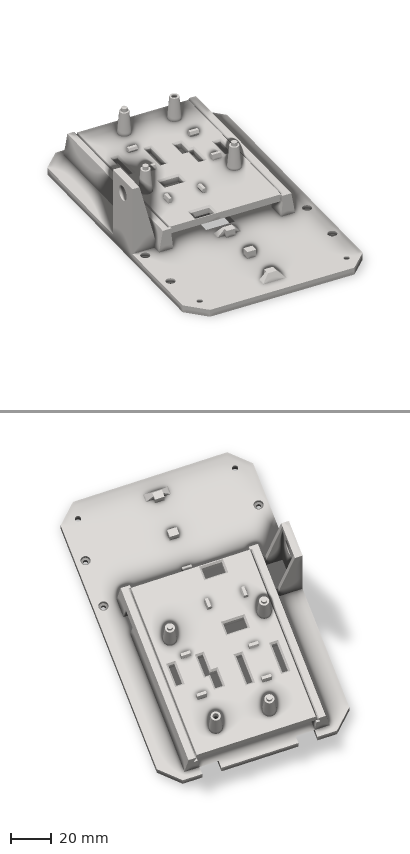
import cadquery as cq

plate_length = 160.0
plate_width = 100.0
plate_thickness = 4.0
corner_cut = 10.0
notch_depth = 4.0
notch_inner_y = 20.0
notch_outer_y = 30.0

rail_start_x = 4.0
rail_end_x = 102.9
groove_end_x = 101.3
rail_top_z = 16.0
shelf_z = 12.0
rail_foot_inner_y = notch_outer_y
rail_foot_outer_y = 37.8
rail_top_outer_y = 35.7
shelf_inner_y = 30.9
groove_bottom_y = 33.0
groove_lip_y = 31.5
lip_chamfer = 0.6

bracket_x = 88.0
window_size = 16.0
rail_opening_width = 10.0
rail_opening_height = 7.0

bracket_width = 20.0
bracket_top_z = 42.0
bracket_wall = 4.0
bracket_foot_depth = 14.0
gusset_thickness = 2.0
bracket_hole_diameter = 8.0
bracket_hole_drop = 8.0

screw_hole_diameter = 2.5
counterbore_diameter = 5.0
counterbore_depth = 2.0
screw_hole_y = 45.0
screw_hole_xs = (102.0, 128.0)
corner_hole_diameter = 3.0
corner_hole_x = 150.5
corner_hole_y = 40.8

block_length = 4.0
block_width = 5.0
block_height = 4.0
middle_block_x = 126.4
end_block_offset = 21.5
wedge_top_length = 2.0
wedge_end_run = 2.4

tray_start_x = 5.3
tray_end_x = groove_end_x
tray_top_half_width = 30.9
tray_bottom_half_width = 32.3
tray_thickness = rail_top_z - shelf_z

post_base_diameter = 7.2
post_top_diameter = 5.0
post_height = 12.8
pin_diameter = 3.0
pin_height = 2.0
pinned_post_places = ((16.3, -10.7), (68.8, 22.2), (67.0, -26.0))
screw_post_place = (16.3, 17.1)

slot_chamfer = 1.0
slot_chamfer_angle = 45
slots = (
    (50.0, 26.0, 13.5, 5.0),
    (50.0, 11.2, 13.5, 4.8),
    (41.1, 8.2, 10.9, 5.8),
    (41.6, -6.7, 18.0, 4.8),
    (41.6, -25.1, 18.0, 4.8),
    (65.3, -10.5, 7.8, 12.5),
    (97.0, -10.5, 7.8, 12.5),
)

hook_thickness = 2.0
hook_length = 5.0
hook_nose = 0.6
hook_taper = 0.5
tall_hook_height = 3.0
short_hook_height = 2.5
hooks = (
    (35.2, 18.0, tall_hook_height, 0),
    (56.8, 18.0, tall_hook_height, 180),
    (33.5, -15.0, short_hook_height, 0),
    (50.7, -15.0, short_hook_height, 180),
    (80.0, -2.4, short_hook_height, -90),
    (80.0, -19.7, short_hook_height, 90),
)


def box(x_start, x_end, y_start, y_end, z_start, z_end):
    """Block between the given limits."""
    size = (x_end - x_start, y_end - y_start, z_end - z_start)
    return cq.Workplane("XY").box(*size, centered=False).translate((x_start, y_start, z_start))


def prism_along_x(points, x_start, x_end):
    """Extrude a (Y, Z) outline from x_start to x_end."""
    outline = cq.Workplane("YZ").polyline(points).close()
    return outline.extrude(x_end - x_start).translate((x_start, 0, 0))


def make_notch(y_start, y_end):
    """Cutter for an end notch whose inner wall leans 45 degrees under the plate."""
    outline = [
        (0, 0),
        (notch_depth + plate_thickness, 0),
        (notch_depth, plate_thickness),
        (0, plate_thickness),
    ]
    notch = cq.Workplane("XZ").polyline(outline).close().extrude(y_start - y_end)
    return notch.translate((0, y_start, 0))


def make_plate():
    half_width = plate_width / 2
    plate = box(0, plate_length, -half_width, half_width, 0, plate_thickness)
    plate = plate.edges("|Z").chamfer(corner_cut)
    notch_width = notch_outer_y - notch_inner_y
    for y_start in (-notch_outer_y, notch_inner_y):
        plate = plate.cut(make_notch(y_start, y_start + notch_width))
    half_window = window_size / 2
    window = box(
        bracket_x - half_window, bracket_x + half_window,
        -half_window, half_window, 0, plate_thickness,
    )
    plate = plate.cut(window)
    top = plate.faces(">Z").workplane(origin=(0, 0, plate_thickness))
    screw_places = [(x, y) for x in screw_hole_xs for y in (-screw_hole_y, screw_hole_y)]
    plate = top.pushPoints(screw_places).cboreHole(
        screw_hole_diameter, counterbore_diameter, counterbore_depth
    )
    top = plate.faces(">Z").workplane(origin=(0, 0, plate_thickness))
    corner_places = [(corner_hole_x, y) for y in (-corner_hole_y, corner_hole_y)]
    return top.pushPoints(corner_places).hole(corner_hole_diameter)


def make_rail():
    """Rail on the +Y side: a grooved length closed by a stop at its far end."""
    foot = [(rail_foot_inner_y, plate_thickness), (rail_foot_outer_y, plate_thickness)]
    outer_top = (rail_top_outer_y, rail_top_z)
    shelf_edge = (shelf_inner_y, shelf_z)
    groove = [
        (groove_lip_y + lip_chamfer, rail_top_z),
        (groove_lip_y, rail_top_z - lip_chamfer),
        (groove_bottom_y, shelf_z),
    ]
    grooved_outline = foot + [outer_top] + groove + [shelf_edge]
    stop_outline = foot + [outer_top, (shelf_inner_y, rail_top_z), shelf_edge]
    grooved = prism_along_x(grooved_outline, rail_start_x, groove_end_x)
    stop = prism_along_x(stop_outline, groove_end_x, rail_end_x)
    half_opening = rail_opening_width / 2
    opening = box(
        bracket_x - half_opening, bracket_x + half_opening, rail_foot_inner_y, rail_foot_outer_y,
        plate_thickness, plate_thickness + rail_opening_height,
    )
    return grooved.union(stop).cut(opening)


def make_bracket():
    """Upright wall with a hole, braced by a tapered gusset at each side."""
    back_y = -plate_width / 2
    wall_y = back_y + bracket_wall
    x_start = bracket_x - bracket_width / 2
    x_end = bracket_x + bracket_width / 2
    bracket = box(x_start, x_end, back_y, wall_y, plate_thickness, bracket_top_z)
    hole_z = bracket_top_z - bracket_hole_drop
    hole = cq.Workplane("XZ").center(bracket_x, hole_z).circle(bracket_hole_diameter / 2).extrude(plate_width)
    bracket = bracket.cut(hole)
    gusset = [
        (wall_y, plate_thickness),
        (back_y + bracket_foot_depth, plate_thickness),
        (wall_y, bracket_top_z),
    ]
    for gusset_x in (x_start, x_end - gusset_thickness):
        bracket = bracket.union(prism_along_x(gusset, gusset_x, gusset_x + gusset_thickness))
    return bracket


def make_block(center_x):
    """Plain locating block on the plate."""
    block_top = plate_thickness + block_height
    return box(
        center_x - block_length / 2, center_x + block_length / 2,
        -block_width / 2, block_width / 2, plate_thickness, block_top,
    )


def make_end_block():
    """Locating block at the +X end, with a wedge that slopes away on three sides."""
    center_x = middle_block_x + end_block_offset
    wedge_start = center_x + block_length / 2 - wedge_top_length
    wedge_end = center_x + block_length / 2 + wedge_end_run
    half_foot = block_width / 2 + block_height
    block_top = plate_thickness + block_height
    wedge = prism_along_x(
        [
            (-half_foot, plate_thickness),
            (half_foot, plate_thickness),
            (block_width / 2, block_top),
            (-block_width / 2, block_top),
        ],
        wedge_start, wedge_end,
    )
    slope_outline = [
        (wedge_end, plate_thickness),
        (wedge_end, block_top),
        (wedge_end - wedge_end_run, block_top),
    ]
    end_slope = cq.Workplane("XZ").polyline(slope_outline).close().extrude(half_foot, both=True)
    return make_block(center_x).union(wedge.cut(end_slope))


def make_base():
    rail = make_rail()
    end_block = make_end_block()
    middle_plane = (middle_block_x, 0, 0)
    base = make_plate().union(rail).union(rail.mirror("XZ")).union(make_bracket())
    base = base.union(make_block(middle_block_x)).union(end_block)
    return base.union(end_block.mirror("YZ", middle_plane))


def make_post(x, y):
    """Tapered standoff on the tray."""
    cone = cq.Solid.makeCone(post_base_diameter / 2, post_top_diameter / 2, post_height)
    return cq.Workplane("XY").add(cone).translate((x, y, rail_top_z))


def make_pin(x, y):
    """Locating pin on top of a standoff."""
    pin = cq.Workplane("XY").circle(pin_diameter / 2).extrude(pin_height)
    return pin.translate((x, y, rail_top_z + post_height))


def make_slot(center_x, center_y, length, width):
    """Cutter for a rectangular slot through the tray with a 45 degree rim."""
    throat_length = length - 2 * slot_chamfer
    throat_width = width - 2 * slot_chamfer
    throat = cq.Workplane("XY").rect(throat_length, throat_width).extrude(-tray_thickness)
    rim = cq.Workplane("XY").rect(length, width).extrude(-slot_chamfer, taper=slot_chamfer_angle)
    return throat.union(rim).translate((center_x, center_y, rail_top_z))


def make_hook(center_x, center_y, height, turn):
    """Snap hook whose nose side stands at the given centre, facing +X before it is turned about Z."""
    outline = [
        (-hook_thickness, 0),
        (0, 0),
        (hook_nose, height / 2),
        (0, height),
        (hook_taper - hook_thickness, height),
    ]
    hook = cq.Workplane("XZ").polyline(outline).close().extrude(hook_length / 2, both=True)
    return hook.rotate((0, 0, 0), (0, 0, 1), turn).translate((center_x, center_y, rail_top_z))


def make_tray():
    outline = [
        (-tray_bottom_half_width, shelf_z),
        (tray_bottom_half_width, shelf_z),
        (tray_top_half_width, rail_top_z),
        (-tray_top_half_width, rail_top_z),
    ]
    tray = prism_along_x(outline, tray_start_x, tray_end_x)
    for slot in slots:
        tray = tray.cut(make_slot(*slot))
    for place in pinned_post_places:
        tray = tray.union(make_post(*place)).union(make_pin(*place))
    tray = tray.union(make_post(*screw_post_place))
    post_hole = cq.Workplane("XY").circle(pin_diameter / 2).extrude(post_height)
    tray = tray.cut(post_hole.translate((*screw_post_place, rail_top_z)))
    for hook in hooks:
        tray = tray.union(make_hook(*hook))
    return tray


base = make_base()
tray = make_tray()
result = cq.Compound.makeCompound([base.val(), tray.val()])